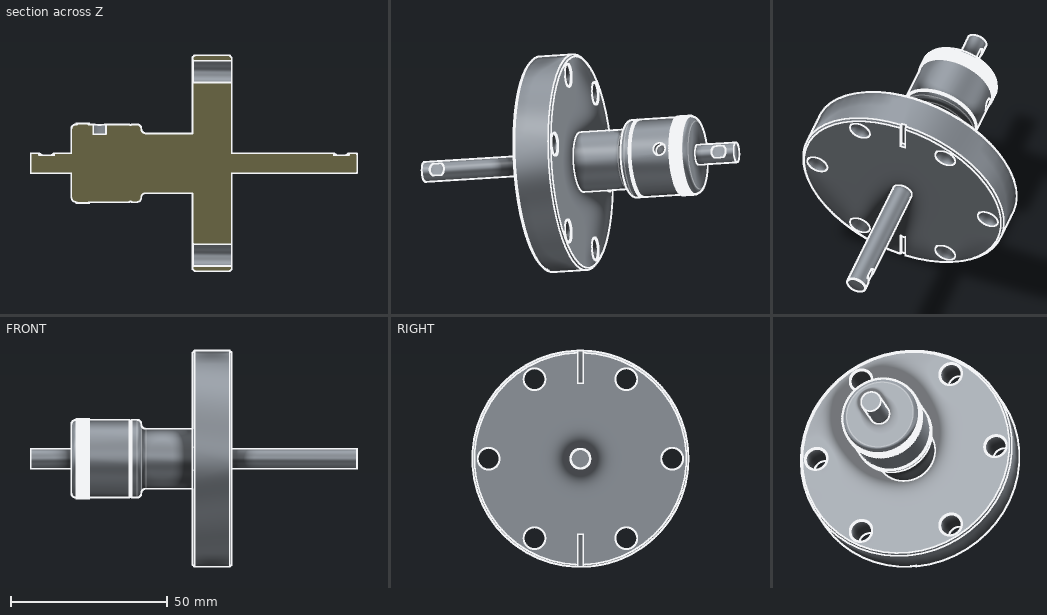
import cadquery as cq
import math

total_length = 104.6
cap_start = 13.0
knurl_start = 14.7
knurl_end = 18.7
groove_center = 32.0
cap_end = 35.5
flange_start = 51.8
flange_end = 64.5

shaft_radius = 3.2
cap_radius = 25.0 / 2
knurl_radius = 12.8
tube_radius = 9.6
flange_radius = 69.4 / 2

cap_fillet = 1.6
shoulder_fillet = (cap_radius - tube_radius) / 2
flange_chamfer = 0.7
shaft_chamfer = 0.2
groove_width = 0.7
groove_depth = 0.3

tooth_count = 100
tooth_depth = 0.2

bolt_count = 6
bolt_circle_radius = 29.4
bolt_hole_diameter = 6.9
bolt_chamfer = 0.3
bolt_chamfer_angle = 90

leak_slot_width = 1.7
leak_slot_depth = 1.3
leak_slot_length = 10.5

shaft_hole_diameter = 4.8
shaft_hole_depth = 0.6
shaft_hole_inset = 5.1
cap_hole_diameter = 4.0
cap_hole_depth = 3.1
cap_hole_position = 22.1


def cylinder(start, end, radius):
    """Cylinder on the X axis between two stations."""
    return cq.Workplane("YZ", origin=(start, 0, 0)).circle(radius).extrude(end - start)


def make_cap_and_tube():
    """Revolved cap with a marking groove, a curved shoulder and a narrower tube."""
    half_groove = groove_width / 2
    shoulder_radius = tube_radius + shoulder_fillet
    bend = shoulder_fillet * math.sqrt(0.5)
    round_over = cap_fillet * (1 - math.sqrt(0.5))
    shoulder_start = cap_end - shoulder_fillet
    shoulder_end = cap_end + shoulder_fillet
    profile = (
        cq.Workplane("XY")
        .moveTo(cap_start, 0)
        .lineTo(cap_start, cap_radius - cap_fillet)
        .threePointArc(
            (cap_start + round_over, cap_radius - round_over),
            (cap_start + cap_fillet, cap_radius),
        )
        .lineTo(groove_center - half_groove, cap_radius)
        .lineTo(groove_center, cap_radius - groove_depth)
        .lineTo(groove_center + half_groove, cap_radius)
        .lineTo(shoulder_start, cap_radius)
        .threePointArc((shoulder_start + bend, shoulder_radius + bend), (cap_end, shoulder_radius))
        .threePointArc((shoulder_end - bend, shoulder_radius - bend), (shoulder_end, tube_radius))
        .lineTo(flange_start, tube_radius)
        .lineTo(flange_start, 0)
        .close()
    )
    return profile.revolve(360, (0, 0, 0), (1, 0, 0))


def make_knurl():
    """Ring of straight V-shaped teeth running along the axis."""
    points = []
    for index in range(2 * tooth_count):
        angle = math.pi * index / tooth_count
        radius = knurl_radius - tooth_depth * (index % 2)
        points.append((radius * math.cos(angle), radius * math.sin(angle)))
    ring = cq.Workplane("YZ", origin=(knurl_start, 0, 0)).polyline(points).close()
    return ring.extrude(knurl_end - knurl_start)


def make_flange():
    """Chamfered disc with a circle of chamfered bolt holes and two leak-check slots."""
    disc = cylinder(flange_start, flange_end, flange_radius).edges().chamfer(flange_chamfer)
    flange = (
        disc.faces("<X").workplane(origin=(flange_start, 0, 0))
        .polarArray(bolt_circle_radius, 0, 360, bolt_count)
        .cskHole(bolt_hole_diameter, bolt_hole_diameter + 2 * bolt_chamfer, bolt_chamfer_angle)
    )
    for side in (1, -1):
        slot = cq.Workplane("XY").box(2 * leak_slot_depth, leak_slot_width, 2 * leak_slot_length)
        flange = flange.cut(slot.translate((flange_end, 0, side * flange_radius)))
    return flange


def make_shaft():
    """Drive shaft running the full length, chamfered at its far end."""
    return cylinder(0, total_length, shaft_radius).faces(">X").chamfer(shaft_chamfer)


def radial_hole(position, surface_radius, diameter, depth):
    """Cutter for a blind hole drilled inward from the +Y side."""
    start = cq.Workplane("XZ", origin=(position, surface_radius, 0))
    return start.circle(diameter / 2).extrude(depth)


result = make_cap_and_tube().union(make_knurl()).union(make_flange()).union(make_shaft())
for position in (shaft_hole_inset, total_length - shaft_hole_inset):
    result = result.cut(radial_hole(position, shaft_radius, shaft_hole_diameter, shaft_hole_depth))
result = result.cut(radial_hole(cap_hole_position, cap_radius, cap_hole_diameter, cap_hole_depth))